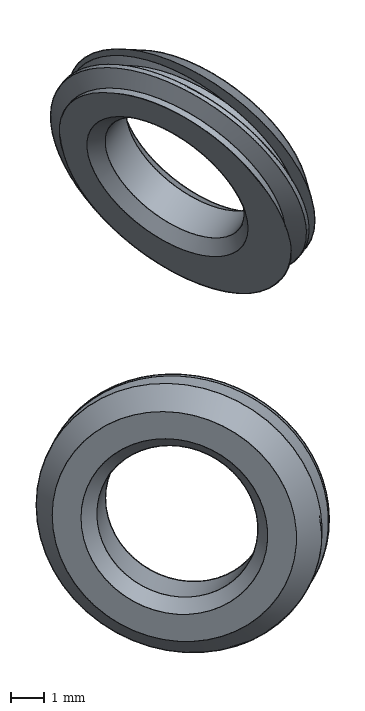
import cadquery as cq
import math

outer_radius = 8.89 / 2
ring_width = 2.0
bore_radius = 5.0 / 2
bore_chamfer = 0.4

rim_chamfer = 0.65
thread_length = ring_width - rim_chamfer

pitch = 1.0
crest_width = 0.15
thread_depth = 0.55
flank_angle = math.radians(30)
crest_height_at_x = 0.94
groove_start_angle = 130
root_radius = outer_radius - thread_depth
mouth_width = pitch - crest_width
root_width = mouth_width - 2 * thread_depth * math.tan(flank_angle)
lead_in_turns = 2
groove_overshoot = 0.05


def make_groove():
    """Helical cutter around Z, running past both ends of the threaded length."""
    groove_height_at_x = crest_height_at_x - pitch / 2
    start_height = groove_height_at_x + (groove_start_angle / 360 - lead_in_turns) * pitch
    groove_length = thread_length + pitch - start_height
    cutter_radius = outer_radius + groove_overshoot
    half_root = root_width / 2
    half_mouth = mouth_width / 2 + groove_overshoot * math.tan(flank_angle)
    path = cq.Wire.makeHelix(pitch, groove_length, root_radius).translate(cq.Vector(0, 0, start_height))
    profile = cq.Workplane("XZ").polyline([
        (root_radius, start_height - half_root),
        (cutter_radius, start_height - half_mouth),
        (cutter_radius, start_height + half_mouth),
        (root_radius, start_height + half_root),
    ]).close()
    groove = profile.sweep(cq.Workplane(obj=path), isFrenet=True)
    return groove.rotate((0, 0, 0), (0, 0, 1), groove_start_angle)


def make_ring_blank():
    """Unthreaded ring with the bore, chamfered at both ends, and the rim chamfer."""
    return cq.Workplane("XZ").polyline([
        (bore_radius + bore_chamfer, 0),
        (outer_radius, 0),
        (outer_radius, thread_length),
        (outer_radius - rim_chamfer, ring_width),
        (bore_radius + bore_chamfer, ring_width),
        (bore_radius, ring_width - bore_chamfer),
        (bore_radius, bore_chamfer),
    ]).close().revolve(360, (0, 0), (0, 1))


def make_thread_zone():
    """Block around the threaded length; the groove ends flat against the rim."""
    block_width = 2 * (outer_radius + pitch)
    block_height = thread_length + pitch
    return cq.Workplane("XY").workplane(offset=-pitch).rect(block_width, block_width).extrude(block_height)


ring = make_ring_blank().cut(make_groove().intersect(make_thread_zone()))

result = ring.rotate((0, 0, 0), (1, 0, 0), -90)